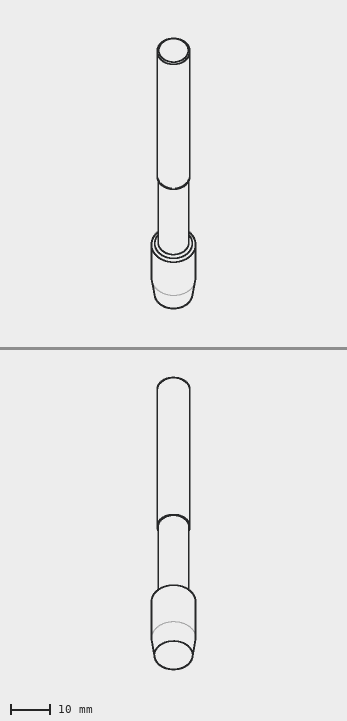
import cadquery as cq

TOTAL_LENGTH = 100.0

HEAD_DIAMETER = 11.1
HEAD_RADIUS = HEAD_DIAMETER / 2
TIP_RADIUS = 4.8
LEAD_LENGTH = 6.5

SHOULDER_END = 21.0
SHOULDER_HEIGHT = 0.9
SHOULDER_START = SHOULDER_END - SHOULDER_HEIGHT

NECK_DIAMETER = 7.7
NECK_RADIUS = NECK_DIAMETER / 2
SHANK_RADIUS = 4.1
SHANK_START = 48.2
END_CHAMFER = 0.4

JOINT_RADIUS = 4.7
SHOULDER_SLOPE = SHOULDER_HEIGHT / (HEAD_RADIUS - NECK_RADIUS)
JOINT_HEIGHT = SHOULDER_START + SHOULDER_SLOPE * (HEAD_RADIUS - JOINT_RADIUS)


def revolve_profile(points):
    """Revolve a closed (radius, height) outline about the Z axis."""
    return cq.Workplane("XZ").polyline(points).close().revolve(360, (0, 0, 0), (0, 1, 0))


def make_head():
    """Cylindrical head with a tapered lead and the lower band of the conical shoulder."""
    return revolve_profile([
        (0, 0),
        (TIP_RADIUS, 0),
        (HEAD_RADIUS, LEAD_LENGTH),
        (HEAD_RADIUS, SHOULDER_START),
        (JOINT_RADIUS, JOINT_HEIGHT),
        (0, JOINT_HEIGHT),
    ])


def make_shank():
    """Shank with a chamfered end, a slim neck and the upper band of the conical shoulder."""
    return revolve_profile([
        (0, JOINT_HEIGHT),
        (JOINT_RADIUS, JOINT_HEIGHT),
        (NECK_RADIUS, SHOULDER_END),
        (NECK_RADIUS, SHANK_START),
        (SHANK_RADIUS, SHANK_START),
        (SHANK_RADIUS, TOTAL_LENGTH - END_CHAMFER),
        (SHANK_RADIUS - END_CHAMFER, TOTAL_LENGTH),
        (0, TOTAL_LENGTH),
    ])


head = make_head()
shank = make_shank()

result = cq.Compound.makeCompound([head.val(), shank.val()])